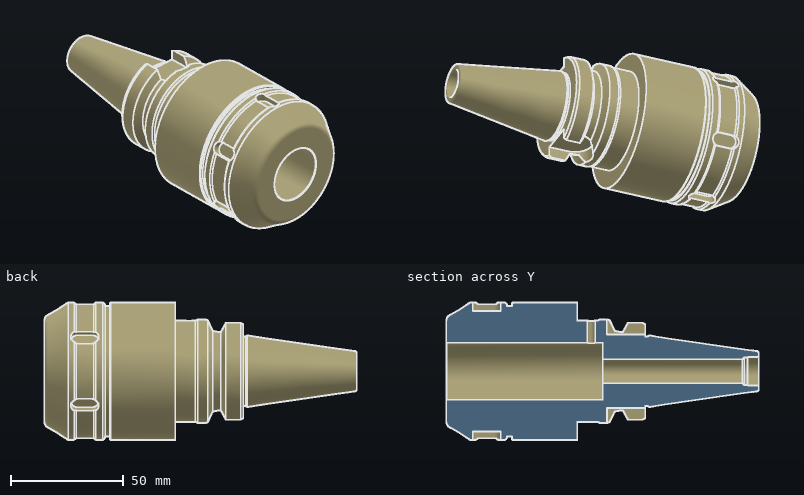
import cadquery as cq
import math

LENGTH = 138.4
BODY_RADIUS = 61.0 / 2

TAPER_RATIO = 7 / 24
TAPER_END = 48.5
TAPER_LARGE_RADIUS = 15.9
TAPER_SMALL_RADIUS = TAPER_LARGE_RADIUS - TAPER_RATIO * TAPER_END / 2
TAPER_TIP_FILLET = 1.1
RELIEF_RADIUS = 30.9 / 2
RELIEF_CONE = 0.8

FLANGE_START = 50.2
FLANGE_RADIUS = 46.0 / 2
FLANGE_CHAMFER_LENGTH = 1.2
FLANGE_CHAMFER_DEPTH = 0.7
GROOVE_START = 58.0
GROOVE_END = 66.0
GROOVE_RADIUS = 19.1
GROOVE_WALL_ANGLE = 30
FLANGE_STEP = 70.3
NECK_RADIUS = 45.0 / 2
NECK_START = 71.4

BODY_START = 80.3
BODY_END = 109.3
BODY_CHAMFER = 0.4

GAP_RADIUS = 57.9 / 2
NUT_START = 111.4
NUT_CHAMFER = 1.0
BAND_START = 115.5
BAND_END = 125.1
BAND_DEPTH = 0.7
BAND_SLOPE = 0.8
NUT_SHOULDER = 127.7
NOSE_START = 128.7
NOSE_START_RADIUS = 29.9
NOSE_FACE_RADIUS = 24.0
NOSE_FILLET = 3.0

SLOT_COUNT = 6
SLOT_CENTRE = 120.4
SLOT_LENGTH = 12.3
SLOT_WIDTH = 6.0
SLOT_FLOOR = 26.7

KEYWAY_COUNT = 2
KEYWAY_WIDTH = 16.2
KEYWAY_FLOOR = 16.3
KEYWAY_END = 67.1

HOLE_X = 74.2
HOLE_DIAMETER = 3.5
HOLE_MOUTH_DIAMETER = 4.0

PILOT_RADIUS = 12.5 / 2
PILOT_MOUTH_FILLET = 0.7
PILOT_END = 4.8
STEP_RADIUS = 12.0 / 2
STEP_END = 6.5
THROUGH_RADIUS = 10.5 / 2
CHUCK_START = 69.2
CHUCK_RADIUS = 25.0 / 2
CHUCK_MOUTH_RADIUS = 25.5 / 2


def revolve_x(points):
    """Solid of revolution about X from (position, radius) points."""
    return cq.Workplane("XY").polyline(points).close().revolve(360, (0, 0, 0), (1, 0, 0))


def turned_body():
    """Outer shape of taper, flange, neck, body and nut, without any bore."""
    groove_wall = (FLANGE_RADIUS - GROOVE_RADIUS) * math.tan(math.radians(GROOVE_WALL_ANGLE))
    band_radius = BODY_RADIUS - BAND_DEPTH
    outline = [
        (0, 0),
        (0, TAPER_SMALL_RADIUS),
        (TAPER_END, TAPER_LARGE_RADIUS),
        (TAPER_END + RELIEF_CONE, RELIEF_RADIUS),
        (FLANGE_START, RELIEF_RADIUS),
        (FLANGE_START, FLANGE_RADIUS - FLANGE_CHAMFER_DEPTH),
        (FLANGE_START + FLANGE_CHAMFER_LENGTH, FLANGE_RADIUS),
        (GROOVE_START, FLANGE_RADIUS),
        (GROOVE_START + groove_wall, GROOVE_RADIUS),
        (GROOVE_END - groove_wall, GROOVE_RADIUS),
        (GROOVE_END, FLANGE_RADIUS),
        (FLANGE_STEP, FLANGE_RADIUS),
        (NECK_START, NECK_RADIUS),
        (BODY_START, NECK_RADIUS),
        (BODY_START, BODY_RADIUS),
        (BODY_END - BODY_CHAMFER, BODY_RADIUS),
        (BODY_END, BODY_RADIUS - BODY_CHAMFER),
        (BODY_END, GAP_RADIUS),
        (NUT_START, GAP_RADIUS),
        (NUT_START, BODY_RADIUS - NUT_CHAMFER),
        (NUT_START + NUT_CHAMFER, BODY_RADIUS),
        (BAND_START, BODY_RADIUS),
        (BAND_START + BAND_SLOPE, band_radius),
        (BAND_END - BAND_SLOPE, band_radius),
        (BAND_END, BODY_RADIUS),
        (NUT_SHOULDER, BODY_RADIUS),
        (NOSE_START, NOSE_START_RADIUS),
        (LENGTH, NOSE_FACE_RADIUS),
        (LENGTH, 0),
    ]
    body = revolve_x(outline)
    body = body.faces("<X").edges().fillet(TAPER_TIP_FILLET)
    return body.faces(">X").edges().fillet(NOSE_FILLET)


def axial_bore():
    """Cutter for the pilot, through hole and chuck bore."""
    pilot_step = PILOT_RADIUS - STEP_RADIUS
    through_step = STEP_RADIUS - THROUGH_RADIUS
    chuck_chamfer = CHUCK_MOUTH_RADIUS - CHUCK_RADIUS
    return revolve_x([
        (0, 0),
        (0, PILOT_RADIUS),
        (PILOT_END, PILOT_RADIUS),
        (PILOT_END + pilot_step, STEP_RADIUS),
        (STEP_END, STEP_RADIUS),
        (STEP_END + through_step, THROUGH_RADIUS),
        (CHUCK_START, THROUGH_RADIUS),
        (CHUCK_START, CHUCK_RADIUS),
        (LENGTH - chuck_chamfer, CHUCK_RADIUS),
        (LENGTH, CHUCK_MOUTH_RADIUS),
        (LENGTH, 0),
    ])


def keyway():
    """Cutter for the round-ended drive keyway on the +Z side of the flange."""
    end_radius = KEYWAY_WIDTH / 2
    straight = KEYWAY_END - end_radius - FLANGE_START
    plane = cq.Workplane("XY", origin=(FLANGE_START, 0, KEYWAY_FLOOR))
    channel = plane.rect(2 * straight, KEYWAY_WIDTH).extrude(BODY_RADIUS)
    return channel.union(plane.center(straight, 0).circle(end_radius).extrude(BODY_RADIUS))


def wrench_slot():
    """Cutter for the flat-floored wrench slot on the +Z side of the nut."""
    plane = cq.Workplane("XY", origin=(SLOT_CENTRE, 0, SLOT_FLOOR))
    return plane.slot2D(SLOT_LENGTH, SLOT_WIDTH).extrude(BODY_RADIUS)


def coolant_hole():
    """Cutter for the chamfered radial hole on the +Z side of the neck."""
    hole_radius = HOLE_DIAMETER / 2
    mouth_radius = HOLE_MOUTH_DIAMETER / 2
    chamfer = mouth_radius - hole_radius
    mouth_start = cq.Vector(HOLE_X, 0, NECK_RADIUS - chamfer)
    mouth = cq.Solid.makeCone(hole_radius, mouth_radius, chamfer, mouth_start, cq.Vector(0, 0, 1))
    hole = cq.Workplane("XY", origin=(HOLE_X, 0, 0)).circle(hole_radius).extrude(NECK_RADIUS)
    return hole.union(cq.Workplane(mouth))


def cut_around_axis(body, cutter, count):
    """Cut evenly spaced copies of the cutter around X, the first one as it stands."""
    for index in range(count):
        body = body.cut(cutter.rotate((0, 0, 0), (1, 0, 0), index * 360 / count))
    return body


result = turned_body().cut(axial_bore())
pilot_mouth = cq.selectors.RadiusNthSelector(0)
result = result.faces("<X").edges(pilot_mouth).fillet(PILOT_MOUTH_FILLET)
result = result.cut(coolant_hole())
result = cut_around_axis(result, keyway(), KEYWAY_COUNT)
result = cut_around_axis(result, wrench_slot(), SLOT_COUNT)